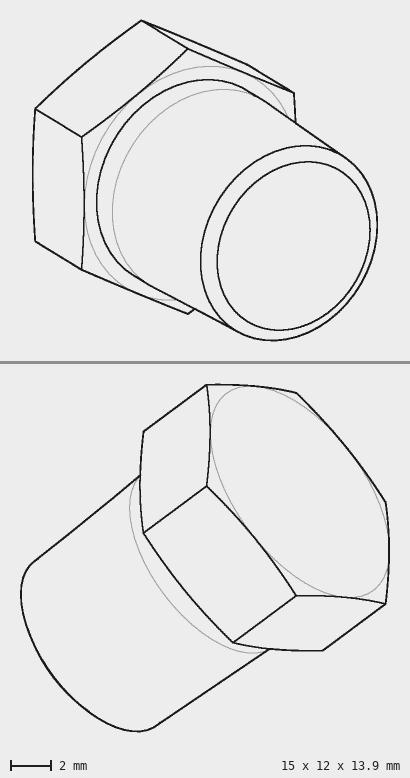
import cadquery as cq
import math

across_flats = 12.0
across_corners = across_flats / math.cos(math.radians(30))
head_length = 5.0
head_chamfer_angle = 15.0

total_length = 15.0
collar_diameter = 10.6
collar_length = 1.5
taper_end_diameter = 10.0
tip_chamfer_length = 0.45
tip_chamfer_depth = 0.68


def make_head():
    """Hexagon along X with two corners on the Z axis, both ends chamfered by a cone."""
    hexagon = (
        cq.Workplane("YZ")
        .polygon(6, across_corners)
        .extrude(head_length)
        .rotate((0, 0, 0), (1, 0, 0), 90)
    )
    face_radius = across_flats / 2
    corner_radius = across_corners / 2
    chamfer_length = (corner_radius - face_radius) * math.tan(math.radians(head_chamfer_angle))
    envelope = (
        cq.Workplane("XY")
        .moveTo(0, 0)
        .lineTo(0, face_radius)
        .lineTo(chamfer_length, corner_radius)
        .lineTo(head_length - chamfer_length, corner_radius)
        .lineTo(head_length, face_radius)
        .lineTo(head_length, 0)
        .close()
        .revolve(360, (0, 0, 0), (1, 0, 0))
    )
    return hexagon.intersect(envelope)


def make_shank():
    """Straight collar, tapered body and chamfered tip, revolved about X."""
    collar_radius = collar_diameter / 2
    taper_start = head_length + collar_length
    taper_end = total_length - tip_chamfer_length
    taper_end_radius = taper_end_diameter / 2
    return (
        cq.Workplane("XY")
        .moveTo(head_length, 0)
        .lineTo(head_length, collar_radius)
        .lineTo(taper_start, collar_radius)
        .lineTo(taper_end, taper_end_radius)
        .lineTo(total_length, taper_end_radius - tip_chamfer_depth)
        .lineTo(total_length, 0)
        .close()
        .revolve(360, (0, 0, 0), (1, 0, 0))
    )


result = make_head().union(make_shank())